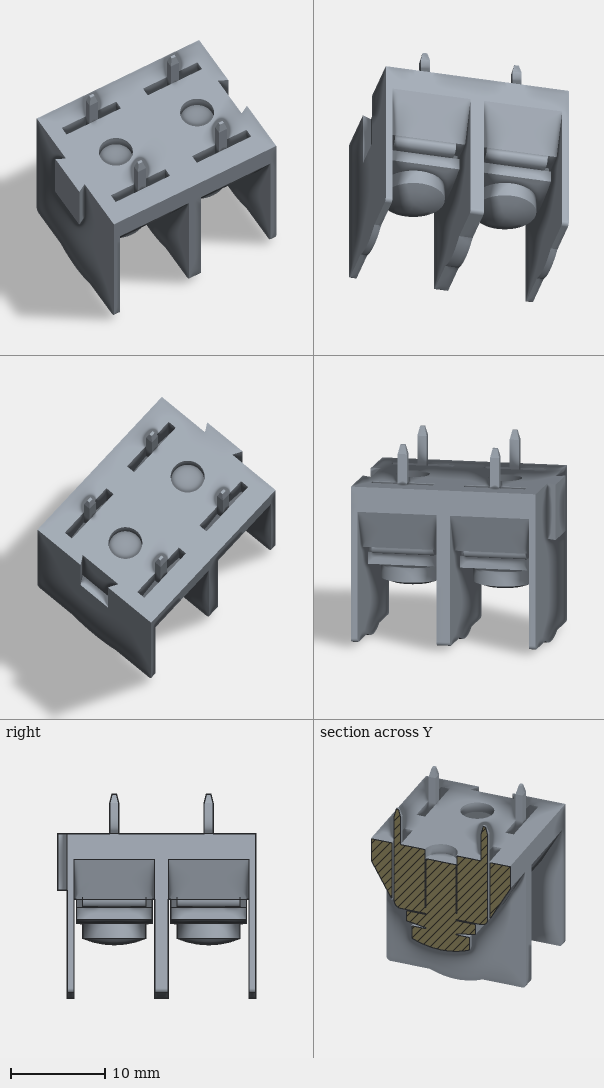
import cadquery as cq
import math


pole_count = 2
pole_pitch = 10.0
body_width = 16.02
body_length = pole_count * pole_pitch
body_height = 16.85
bottom_corner_radius = 0.43
bulge_half_width = 3.03
bulge_depth = 0.6

divider_thickness = 1.47
chamber_length = pole_pitch - divider_thickness
chamber_mouth_depth = 2.7
chamber_ceiling_depth = 6.95

dovetail_width = 5.0
dovetail_projection = 1.0
dovetail_height = 6.0
dovetail_flank_angle = 30.0

pin_spacing = 10.0
strip_thickness = 0.8
strip_length = 6.7
slot_width = 1.0
shoulder_depth = 2.16
shoulder_angle = 18.0
pin_length = 1.0
pin_height = 4.2
pin_tip_height = 1.0
pin_tip_inset = pin_length / 4

clamp_width = 8.0
clamp_length = 8.05
clamp_thickness = 1.73
clamp_crown_height = 0.45
clamp_gap = 0.06
clamp_lip_width = 6.5

screw_hole_diameter = 3.6
screw_diameter = 3.5
screw_end_depth = 1.08
screw_head_diameter = strip_length
screw_head_height = 1.54
screw_head_seat = 0.02
screw_dome_height = 0.7

pole_positions = [(i - (pole_count - 1) / 2) * pole_pitch for i in range(pole_count)]
strip_outer_x = (pin_spacing + strip_thickness) / 2
strip_inner_x = strip_outer_x - strip_thickness
slot_outer_x = strip_inner_x + slot_width
strip_bottom = -chamber_ceiling_depth - strip_thickness
clamp_top = strip_bottom - clamp_gap
clamp_bottom = clamp_top - clamp_thickness
head_rim = clamp_bottom - screw_head_height


def prism_along_y(profile, length, y_center):
    """Extrude a closed XZ profile symmetrically about y_center."""
    return profile.extrude(length / 2, both=True).translate((0, y_center, 0))


def box(size_x, size_y, z_low, z_high, center=(0, 0)):
    """Box centred on an XY place and spanning z_low to z_high."""
    return (
        cq.Workplane("XY", origin=(center[0], center[1], z_low))
        .rect(size_x, size_y)
        .extrude(z_high - z_low)
    )


def cylinder(diameter, z_low, z_high, y_center):
    """Vertical cylinder on the X = 0 plane."""
    return cq.Workplane("XY", origin=(0, y_center, z_low)).circle(diameter / 2).extrude(z_high - z_low)


def make_block():
    """Plain block with rounded lower corners and a bulge along the underside."""
    half_width = body_width / 2
    profile = (
        cq.Workplane("XZ")
        .moveTo(-half_width, 0)
        .lineTo(-half_width, -body_height)
        .lineTo(-bulge_half_width, -body_height)
        .threePointArc((0, -body_height - bulge_depth), (bulge_half_width, -body_height))
        .lineTo(half_width, -body_height)
        .lineTo(half_width, 0)
        .close()
    )
    lower_corners = cq.selectors.BoxSelector(
        (-body_width, -body_length, -body_height - bulge_depth / 2),
        (body_width, body_length, -body_height + bulge_depth / 2),
    )
    block = prism_along_y(profile, body_length, 0)
    return block.edges("<X or >X").edges(lower_corners).fillet(bottom_corner_radius)


def make_dovetail(y_root):
    """Dovetail rising from y_root toward -Y, wider at its outer face."""
    root_width = dovetail_width - 2 * dovetail_projection * math.tan(math.radians(dovetail_flank_angle))
    y_face = y_root - dovetail_projection
    return (
        cq.Workplane("XY")
        .polyline([
            (-root_width / 2, y_root),
            (root_width / 2, y_root),
            (dovetail_width / 2, y_face),
            (-dovetail_width / 2, y_face),
        ])
        .close()
        .extrude(-dovetail_height)
    )


def make_chamber(y_center):
    """Wire chamber, open below and on both sides, with sloping roofs at its mouths."""
    half_width = body_width / 2
    chamber_bottom = -body_height - bulge_depth
    profile = (
        cq.Workplane("XZ")
        .polyline([
            (-half_width, chamber_bottom),
            (-half_width, -chamber_mouth_depth),
            (-slot_outer_x, -chamber_ceiling_depth),
            (slot_outer_x, -chamber_ceiling_depth),
            (half_width, -chamber_mouth_depth),
            (half_width, chamber_bottom),
        ])
        .close()
    )
    return prism_along_y(profile, chamber_length, y_center)


def make_slot(side, y_center):
    """Slot through the roof for one leg of a contact strip."""
    slot_x = side * (strip_inner_x + slot_outer_x) / 2
    return box(slot_width, strip_length, -chamber_ceiling_depth, 0, (slot_x, y_center))


def make_strip(y_center):
    """Contact strip bent into a U, with sloping shoulders below each pin."""
    shoulder_run = (strip_length - pin_length) / 2
    shoulder_end = -shoulder_depth - shoulder_run * math.tan(math.radians(shoulder_angle))
    strip = (
        cq.Workplane("YZ")
        .polyline([
            (-strip_length / 2, strip_bottom),
            (-strip_length / 2, shoulder_end),
            (-pin_length / 2, -shoulder_depth),
            (pin_length / 2, -shoulder_depth),
            (strip_length / 2, shoulder_end),
            (strip_length / 2, strip_bottom),
        ])
        .close()
        .extrude(strip_outer_x, both=True)
        .edges("|Y and <Z")
        .fillet(strip_thickness)
    )
    opening = box(2 * strip_inner_x, strip_length, -chamber_ceiling_depth, 0)
    return strip.cut(opening).translate((0, y_center, 0))


def make_pin(side, y_center):
    """Rectangular solder pin with a tapered tip."""
    center = (side * pin_spacing / 2, y_center)
    tip_base = pin_height - pin_tip_height
    shank = box(strip_thickness, pin_length, -shoulder_depth, tip_base, center)
    tip = (
        cq.Workplane("XY", origin=(center[0], center[1], tip_base))
        .rect(strip_thickness, pin_length)
        .workplane(offset=pin_tip_height)
        .rect(strip_thickness - 2 * pin_tip_inset, pin_length - 2 * pin_tip_inset)
        .loft(ruled=True)
    )
    return shank.union(tip)


def make_clamp(y_center):
    """Clamp plate with an arched underside and two lips that straddle the strip."""
    half_width = clamp_width / 2
    profile = (
        cq.Workplane("XZ")
        .moveTo(-half_width, clamp_top)
        .lineTo(-half_width, clamp_bottom + clamp_crown_height)
        .threePointArc((0, clamp_bottom), (half_width, clamp_bottom + clamp_crown_height))
        .lineTo(half_width, clamp_top)
        .close()
    )
    clamp = prism_along_y(profile, clamp_length, y_center)
    lip_length = (clamp_length - strip_length) / 2
    for side in (-1, 1):
        lip_y = y_center + side * (strip_length + lip_length) / 2
        lip = box(clamp_lip_width, lip_length, clamp_top, -chamber_ceiling_depth, (0, lip_y))
        clamp = clamp.union(lip)
    return clamp


def dome_midpoint(head_radius):
    """Point halfway along the arc from the head rim to the top of the dome."""
    sphere_radius = (head_radius**2 + screw_dome_height**2) / (2 * screw_dome_height)
    half_angle = math.asin(head_radius / sphere_radius) / 2
    sphere_center = head_rim - screw_dome_height + sphere_radius
    return (sphere_radius * math.sin(half_angle), sphere_center - sphere_radius * math.cos(half_angle))


def make_screw(y_center):
    """Screw with a domed head; its shank ends inside the hole in the roof."""
    head_radius = screw_head_diameter / 2
    dome = (
        cq.Workplane("XZ")
        .moveTo(0, head_rim)
        .lineTo(head_radius, head_rim)
        .threePointArc(dome_midpoint(head_radius), (0, head_rim - screw_dome_height))
        .close()
        .revolve(360, (0, 0, 0), (0, 1, 0))
        .translate((0, y_center, 0))
    )
    head = cylinder(screw_head_diameter, head_rim, clamp_bottom + screw_head_seat, y_center)
    shank = cylinder(screw_diameter, head_rim, -screw_end_depth, y_center)
    return shank.union(head).union(dome)


result = make_block().union(make_dovetail(-body_length / 2)).cut(make_dovetail(body_length / 2))

for pole_y in pole_positions:
    result = result.cut(make_chamber(pole_y))
    result = result.cut(cylinder(screw_hole_diameter, -chamber_ceiling_depth, 0, pole_y))
    for pin_side in (-1, 1):
        result = result.cut(make_slot(pin_side, pole_y))
    metal = make_strip(pole_y).union(make_clamp(pole_y)).union(make_screw(pole_y))
    for pin_side in (-1, 1):
        metal = metal.union(make_pin(pin_side, pole_y))
    result = result.union(metal)